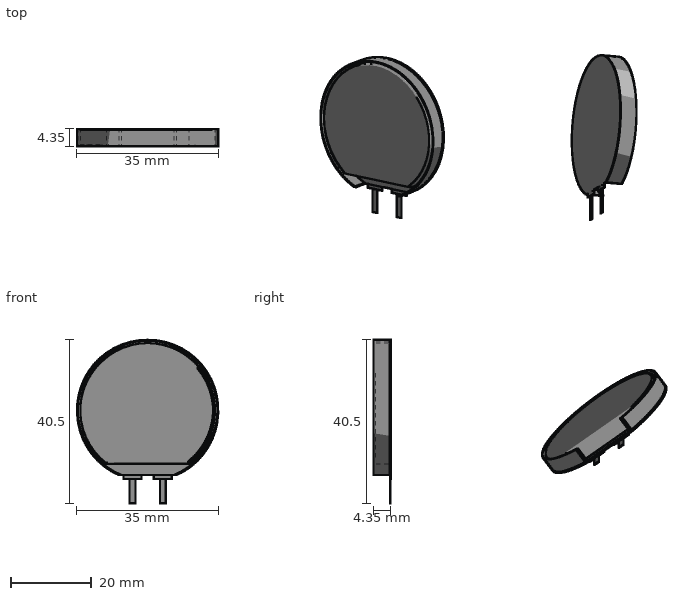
import cadquery as cq

cup_radius = 17.5
cup_depth = 4.35
wall_thickness = 0.225
floor_thickness = 0.3
cup_flat_z = -16.0

disc_radius = 16.675
disc_flat_z = -13.2
disc_edge_radius = 0.5

terminal_gap = 3.0
pad_width = 4.5
pad_thickness = 0.25
pad_bottom_z = -17.0
pin_spacing = 7.5
pin_width = 1.5
pin_thickness = 0.1
pin_setback = 0.02
pin_bottom_z = -23.0

back_y = cup_depth / 2
front_y = -cup_depth / 2
floor_y = back_y - floor_thickness


def block(x_min, x_max, y_min, y_max, z_min, z_max):
    """Box given by its limits along each axis."""
    size = (x_max - x_min, y_max - y_min, z_max - z_min)
    return cq.Workplane("XY").box(*size, centered=False).translate((x_min, y_min, z_min))


def flat_bottomed_disc(radius, flat_z, y_min, y_max):
    """Disc along Y whose lower segment is cut off at flat_z."""
    disc = cq.Workplane("XZ", origin=(0, y_max, 0)).circle(radius).extrude(y_max - y_min)
    return disc.intersect(block(-radius, radius, y_min, y_max, flat_z, radius))


def make_cup():
    outside = flat_bottomed_disc(cup_radius, cup_flat_z, front_y, back_y)
    cavity_radius = cup_radius - wall_thickness
    cavity = flat_bottomed_disc(cavity_radius, -cavity_radius, front_y, floor_y)
    return outside.cut(cavity)


def make_disc():
    disc = flat_bottomed_disc(disc_radius, disc_flat_z, front_y, floor_y)
    return disc.faces("<Y").edges().fillet(disc_edge_radius)


def make_terminal(side):
    """Terminal on the +X (side = 1) or -X (side = -1) half."""
    pad_x = side * (terminal_gap + pad_width) / 2
    pin_x = side * pin_spacing / 2
    pad_front_y = back_y - pad_thickness
    pin_front_y = pad_front_y + pin_setback
    pad = block(
        pad_x - pad_width / 2, pad_x + pad_width / 2,
        pad_front_y, back_y,
        pad_bottom_z, cup_flat_z,
    )
    pin = block(
        pin_x - pin_width / 2, pin_x + pin_width / 2,
        pin_front_y, pin_front_y + pin_thickness,
        pin_bottom_z, pad_bottom_z,
    )
    return pad.union(pin)


result = make_cup().union(make_disc())
for side in (-1, 1):
    result = result.union(make_terminal(side))